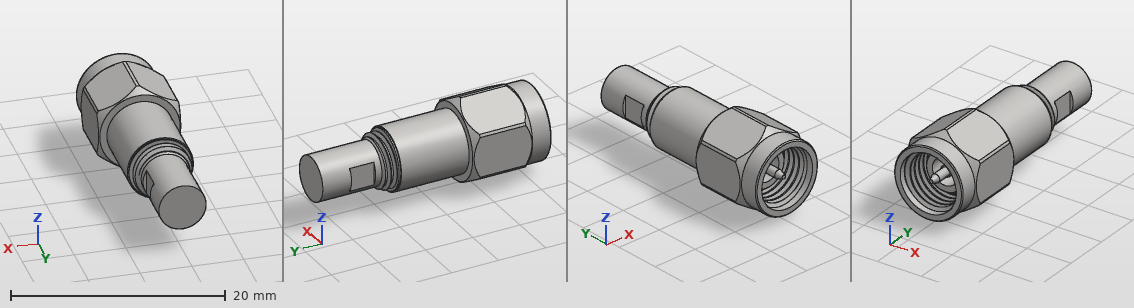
import cadquery as cq
import math

LENGTH = 23.4

HEX_ACROSS_FLATS = 7.93
HEX_ACROSS_CORNERS = 8.98
HEX_FRONT = 2.03
HEX_BACK = 8.37
HEX_CHAMFER_LENGTH = 0.75
COLLAR_DIAMETER = 7.77
COLLAR_CHAMFER = 0.12

MOUTH_DIAMETER = 6.35
MOUTH_DEPTH = 0.75
MOUTH_CONE_LENGTH = 0.23
NUT_THREAD_MINOR_DIAMETER = 5.61
NUT_THREAD_PITCH = 0.7
NUT_THREAD_CREST = 0.16
NUT_THREAD_ROOT = 0.02
NUT_THREAD_PHASE = 1.12
NUT_THREAD_END = 3.98
CAVITY_DEPTH = 4.2

SLEEVE_DIAMETER = 4.45
SLEEVE_FACE = 2.78
SLEEVE_CHAMFER = 0.12
SLEEVE_BORE_DIAMETER = 2.92
SLEEVE_BORE_DEPTH = 1.87
PIN_DIAMETER = 0.94
PIN_TIP_DIAMETER = 0.42
PIN_TIP = 0.47
PIN_TAPER_LENGTH = 0.75
PIN_SHOULDER_DIAMETER = 1.2
PIN_SHOULDER_FACE = 2.88

BODY_DIAMETER = 6.39
BODY_BACK = 15.55
STEP_DIAMETER = 6.13
STEP_LENGTH = 0.16
BODY_THREAD_DIAMETER = 5.61
BODY_THREAD_DEPTH = 0.35
BODY_THREAD_PITCH = 0.63
BODY_THREAD_CREST = 0.05
BODY_THREAD_BACK = 17.12
BODY_THREAD_PHASE = 16.42
TAIL_DIAMETER = 4.55
FLAT_SPACING = 3.85
FLAT_FRONT = 17.8
FLAT_BACK = 20.35

FLANK_SLOPE = math.tan(math.radians(30))
OVERLAP = 0.02


def turned(points):
    """Solid of revolution about Y from (radius, y) points."""
    return cq.Workplane("XY").polyline(points).close().revolve(360, (0, 0), (0, 1))


def cylinder(diameter, start, end):
    radius = diameter / 2
    return turned([(0, start), (radius, start), (radius, end), (0, end)])


def thread_groove(mouth_radius, root_radius, mouth_width, root_width, pitch, phase, start, end):
    """Right-handed helical groove around Y, trimmed to start <= y <= end."""
    outward = math.copysign(1, mouth_radius - root_radius)
    outer_radius = mouth_radius + outward * OVERLAP
    outer_half = mouth_width / 2 + OVERLAP * FLANK_SLOPE
    first = phase - math.ceil((phase - start) / pitch + 1) * pitch
    height = end + pitch - first
    section = [
        (outer_radius, -outer_half),
        (outer_radius, outer_half),
        (root_radius, root_width / 2),
        (root_radius, -root_width / 2),
    ]
    path = cq.Workplane(cq.Wire.makeHelix(pitch, height, mouth_radius))
    groove = cq.Workplane("XZ").polyline(section).close().sweep(path, isFrenet=True)
    groove = groove.rotate((0, 0, 0), (1, 0, 0), -90).translate((0, first, 0))
    return groove.intersect(cylinder(HEX_ACROSS_CORNERS, start, end))


def hex_nut():
    corner_radius = HEX_ACROSS_CORNERS / 2
    end_radius = COLLAR_DIAMETER / 2
    sharp_corners = HEX_ACROSS_FLATS / math.cos(math.radians(30))
    prism = (
        cq.Workplane("XZ", origin=(0, HEX_BACK, 0))
        .polygon(6, sharp_corners)
        .extrude(HEX_BACK - HEX_FRONT)
        .rotate((0, 0, 0), (0, 1, 0), 30)
    )
    envelope = turned([
        (0, HEX_FRONT),
        (end_radius, HEX_FRONT),
        (corner_radius, HEX_FRONT + HEX_CHAMFER_LENGTH),
        (corner_radius, HEX_BACK - HEX_CHAMFER_LENGTH),
        (end_radius, HEX_BACK),
        (0, HEX_BACK),
    ])
    collar = cylinder(COLLAR_DIAMETER, 0, HEX_FRONT).faces("<Y").chamfer(COLLAR_CHAMFER)
    return prism.intersect(envelope).union(collar)


def nut_cavity():
    mouth_radius = MOUTH_DIAMETER / 2
    minor_radius = NUT_THREAD_MINOR_DIAMETER / 2
    return turned([
        (0, 0),
        (mouth_radius, 0),
        (mouth_radius, MOUTH_DEPTH),
        (minor_radius, MOUTH_DEPTH + MOUTH_CONE_LENGTH),
        (minor_radius, CAVITY_DEPTH),
        (0, CAVITY_DEPTH),
    ])


def nut_thread():
    minor_radius = NUT_THREAD_MINOR_DIAMETER / 2
    groove_width = NUT_THREAD_PITCH - NUT_THREAD_CREST
    groove_depth = (groove_width - NUT_THREAD_ROOT) / 2 / FLANK_SLOPE
    return thread_groove(
        minor_radius, minor_radius + groove_depth, groove_width, NUT_THREAD_ROOT,
        NUT_THREAD_PITCH, NUT_THREAD_PHASE, MOUTH_DEPTH, NUT_THREAD_END,
    )


def sleeve():
    outside = cylinder(SLEEVE_DIAMETER, SLEEVE_FACE, HEX_BACK)
    return outside.faces("<Y").chamfer(SLEEVE_CHAMFER)


def centre_pin():
    pin_radius = PIN_DIAMETER / 2
    tip_radius = PIN_TIP_DIAMETER / 2
    shoulder_radius = PIN_SHOULDER_DIAMETER / 2
    return turned([
        (0, PIN_TIP),
        (tip_radius, PIN_TIP),
        (pin_radius, PIN_TIP + PIN_TAPER_LENGTH),
        (pin_radius, PIN_SHOULDER_FACE),
        (shoulder_radius, PIN_SHOULDER_FACE),
        (shoulder_radius, HEX_BACK),
        (0, HEX_BACK),
    ])


def body_and_tail():
    body_radius = BODY_DIAMETER / 2
    step_radius = STEP_DIAMETER / 2
    step_back = BODY_BACK + STEP_LENGTH
    thread_radius = BODY_THREAD_DIAMETER / 2
    tail_radius = TAIL_DIAMETER / 2
    thread_chamfer = thread_radius - tail_radius
    blank = turned([
        (0, HEX_BACK),
        (body_radius, HEX_BACK),
        (body_radius, BODY_BACK),
        (step_radius, BODY_BACK),
        (step_radius, step_back),
        (thread_radius, step_back),
        (thread_radius, BODY_THREAD_BACK - thread_chamfer),
        (tail_radius, BODY_THREAD_BACK),
        (tail_radius, LENGTH),
        (0, LENGTH),
    ])
    groove_width = BODY_THREAD_PITCH - BODY_THREAD_CREST
    root_width = groove_width - 2 * BODY_THREAD_DEPTH * FLANK_SLOPE
    groove = thread_groove(
        thread_radius, thread_radius - BODY_THREAD_DEPTH, groove_width, root_width,
        BODY_THREAD_PITCH, BODY_THREAD_PHASE, step_back, BODY_THREAD_BACK,
    )
    return blank.cut(groove)


def wrench_flats():
    """Material removed from the -X and +X sides of the tail."""
    band = cylinder(BODY_DIAMETER, FLAT_FRONT, FLAT_BACK)
    core = cq.Workplane("XY").box(FLAT_SPACING, 2 * LENGTH, BODY_DIAMETER)
    return band.cut(core)


result = (
    hex_nut()
    .cut(nut_cavity())
    .cut(nut_thread())
    .union(sleeve())
    .cut(cylinder(SLEEVE_BORE_DIAMETER, SLEEVE_FACE, SLEEVE_FACE + SLEEVE_BORE_DEPTH))
    .union(centre_pin())
    .union(body_and_tail())
    .cut(wrench_flats())
)